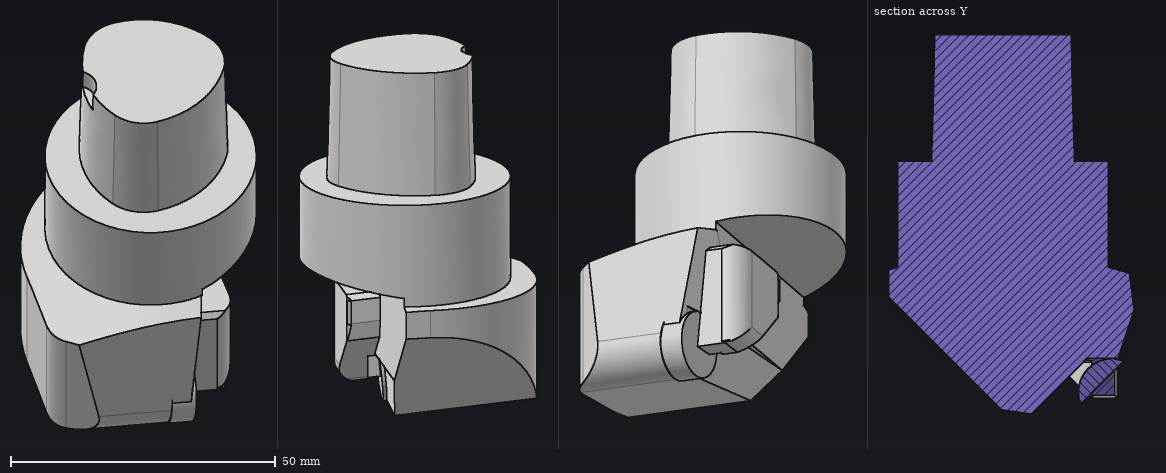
import cadquery as cq
import math


shank_height = 24.0
shank_width = 28.1
lobe_radius = 8.8
flank_radius = shank_width - lobe_radius
lobe_offset = (flank_radius - lobe_radius) / math.sqrt(3)
shank_taper = 1.4
key_radius = 4.0
key_depth = 4.15
key_center_y = -14.95

overall_length = 74.0
collar_diameter = 40.0
collar_radius = collar_diameter / 2
collar_height = 20.0
head_bottom = shank_height - overall_length

body_radius = 25.0
body_center_x = 3.4
body_center_y = -0.7
body_left = body_center_x - body_radius
body_front = body_center_y - body_radius
corner_start_x = 15.5
corner_radius = 6.35
corner_angle = 50.0
corner_run = 29.6
shoulder_angle = 15.5
heel_sum = -47.35
margin = 44.4

back_y = 4.0
chip_top_at_back = -18.35
chip_top_angle = 8.8

insert_diameter = 12.7
insert_radius = insert_diameter / 2
insert_thickness = 4.7
insert_proud = 0.75
insert_x = 20.5
insert_z = -43.6
seat_y = 0.3
seat_slope = 0.1
nose_radius = 6.15
flank_angle = 7.3
ramp_edge_x = 18.9
ramp_slope = 0.3

clamp_outer_y = 10.2
clamp_left = 3.7
clamp_right = 21.3
clamp_top = -23.6
clamp_bottom = -44.1
clamp_corner = 1.0
clamp_shoulder_z = -29.1
clamp_shoulder_lean = 0.6
clamp_heel_z = -32.55
clamp_tip_x = 15.4
clamp_tip_bevel = 0.8
left_bevel = 0.75
clamp_round_diameter = 10.0
clamp_round_x = 21.75
clamp_round_radius = clamp_round_diameter / 2
foot_left = -3.85
undercut_end = 5.9
undercut_height = 3.25

seat_plane = cq.Plane(
    origin=(insert_x, seat_y, insert_z),
    xDir=(1, -seat_slope, 0),
    normal=(-seat_slope, -1, seat_slope),
)


def polar(radius, degrees, x=0.0, y=0.0):
    angle = math.radians(degrees)
    return (x + radius * math.cos(angle), y + radius * math.sin(angle))


def make_shank():
    outline = cq.Workplane("XY").moveTo(*polar(lobe_radius, 60, *polar(lobe_offset, 90)))
    for lobe_angle in (90, 210, 330):
        lobe = polar(lobe_offset, lobe_angle)
        far_lobe = polar(lobe_offset, lobe_angle - 120)
        outline = outline.threePointArc(
            polar(lobe_radius, lobe_angle, *lobe),
            polar(lobe_radius, lobe_angle + 30, *lobe),
        ).threePointArc(
            polar(flank_radius, lobe_angle + 60, *far_lobe),
            polar(flank_radius, lobe_angle + 90, *far_lobe),
        )
    shank = outline.close().extrude(shank_height, taper=shank_taper)
    key = (
        cq.Workplane("XY", origin=(0, key_center_y, shank_height - key_depth))
        .circle(key_radius)
        .extrude(key_depth)
    )
    return shank.cut(key)


def make_collar():
    collar = cq.Workplane("XY").circle(collar_radius).extrude(-collar_height)
    return collar.cut(make_chip_space())


def head_outline():
    corner_y = body_front + corner_radius
    corner_end = polar(corner_radius, corner_angle - 90, corner_start_x, corner_y)
    diagonal_end = polar(corner_run, corner_angle, *corner_end)
    return (
        cq.Workplane("XY", origin=(0, 0, head_bottom))
        .moveTo(body_left, back_y)
        .lineTo(body_left, body_center_y)
        .threePointArc(
            polar(body_radius, 225, body_center_x, body_center_y),
            (body_center_x, body_front),
        )
        .lineTo(corner_start_x, body_front)
        .threePointArc(
            polar(corner_radius, corner_angle / 2 - 90, corner_start_x, corner_y),
            corner_end,
        )
        .lineTo(*diagonal_end)
        .lineTo(diagonal_end[0], back_y)
        .close()
    )


def make_shoulder():
    """Solid of revolution under the conical shoulder, used to trim the top of the head."""
    rim = collar_radius + margin
    rim_z = -collar_height - margin * math.tan(math.radians(shoulder_angle))
    floor = head_bottom - margin
    return (
        cq.Workplane("XZ")
        .polyline(
            [
                (0, floor),
                (0, -collar_height),
                (collar_radius, -collar_height),
                (rim, rim_z),
                (rim, floor),
            ]
        )
        .close()
        .revolve(360, (0, 0, 0), (0, 1, 0))
    )


def make_flank_prism():
    """Prism square to the seat: two leaning flanks joined by the round nose."""
    right = polar(nose_radius, flank_angle)
    bottom = polar(nose_radius, 270 - flank_angle)
    right_top = polar(margin, 90 + flank_angle, *right)
    left_bottom = polar(margin, 180 - flank_angle, *bottom)
    return (
        cq.Workplane(seat_plane)
        .moveTo(*right_top)
        .lineTo(*right)
        .threePointArc(polar(nose_radius, -45), bottom)
        .lineTo(*left_bottom)
        .lineTo(left_bottom[0], right_top[1])
        .close()
        .extrude(margin, both=True)
    )


def make_heel_cut():
    top_z = heel_sum + margin
    low_z = head_bottom - margin
    return (
        cq.Workplane("XZ")
        .polyline([(-margin, top_z), (heel_sum - low_z, low_z), (-margin, low_z)])
        .close()
        .extrude(margin, both=True)
    )


def make_chip_space():
    rise = margin * math.tan(math.radians(chip_top_angle))
    return (
        cq.Workplane("YZ")
        .polyline(
            [
                (back_y, chip_top_at_back),
                (back_y + margin, chip_top_at_back + rise),
                (back_y + margin, -overall_length),
                (back_y, -overall_length),
            ]
        )
        .close()
        .extrude(margin, both=True)
    )


def make_seat_cut():
    """Open space behind the seat face, bounded at the upper rim of the insert."""
    return (
        cq.Workplane(seat_plane)
        .center(0, insert_radius)
        .rect(2 * margin, -margin, centered=(True, False))
        .extrude(-margin)
    )


def make_ramp_cut():
    """Ramp that falls from the back face to the right cutting flank."""
    ramp_plane = cq.Plane(
        origin=(ramp_edge_x, back_y, -collar_height),
        xDir=(1, -ramp_slope, 0),
        normal=(ramp_slope, 1, -seat_slope),
    )
    return cq.Workplane(ramp_plane).rect(2 * margin, 2 * margin).extrude(margin)


def make_insert():
    return (
        cq.Workplane(seat_plane)
        .workplane(offset=-insert_proud)
        .circle(insert_radius)
        .extrude(insert_thickness)
    )


def make_holder(insert):
    head = (
        head_outline()
        .extrude(-head_bottom)
        .intersect(make_shoulder())
        .intersect(make_flank_prism())
        .cut(make_heel_cut())
        .cut(make_ramp_cut())
        .cut(make_seat_cut())
    )
    return make_shank().union(make_collar()).union(head).cut(insert)


def make_clamp_arm():
    """Arm with walls square to the seat and a flat outer face square to Y."""
    arm_plane = cq.Plane(
        origin=(0, back_y, 0),
        xDir=seat_plane.xDir,
        normal=seat_plane.zDir,
    )
    arm = (
        cq.Workplane(arm_plane)
        .polyline(
            [
                (clamp_left + clamp_corner, clamp_top),
                (clamp_right - clamp_corner, clamp_top),
                (clamp_right, clamp_top - clamp_corner),
                (clamp_right, clamp_bottom),
                (clamp_tip_x + clamp_tip_bevel, clamp_bottom),
                (clamp_tip_x, clamp_bottom + clamp_tip_bevel),
                (clamp_left + clamp_shoulder_lean, clamp_heel_z),
                (clamp_left, clamp_shoulder_z),
                (clamp_left, clamp_top - clamp_corner),
            ]
        )
        .close()
        .extrude(margin, both=True)
    )
    outer_limit = (
        cq.Workplane("XZ", origin=(0, clamp_outer_y, 0))
        .rect(2 * margin, 4 * margin)
        .extrude(clamp_outer_y)
    )
    return arm.intersect(outer_limit)


def corner_waste(plane, corner_x, corner_y):
    """Waste outside a rounded edge whose sharp corner points to +x, +y of the plane."""
    center_x = corner_x - clamp_round_radius
    center_y = corner_y - clamp_round_radius
    return (
        cq.Workplane(plane)
        .moveTo(center_x, corner_y)
        .threePointArc(polar(clamp_round_radius, 45, center_x, center_y), (corner_x, center_y))
        .lineTo(corner_x + clamp_round_radius, center_y)
        .lineTo(corner_x + clamp_round_radius, corner_y + clamp_round_radius)
        .lineTo(center_x, corner_y + clamp_round_radius)
        .close()
        .extrude(margin, both=True)
    )


def shape_clamp_edges(arm):
    """Bevel the left outer edge and round the right and bottom outer edges."""
    bottom = arm.val().BoundingBox().zmin
    outer_face = arm.faces(">Y").val().BoundingBox()
    left_wedge = (
        cq.Workplane("XY")
        .polyline(
            [
                (outer_face.xmin, clamp_outer_y),
                (outer_face.xmin + left_bevel, clamp_outer_y),
                (outer_face.xmin, clamp_outer_y - left_bevel),
            ]
        )
        .close()
        .extrude(margin, both=True)
    )
    downward = cq.Plane(origin=(0, 0, 0), xDir=(0, 1, 0), normal=(-1, 0, 0))
    return (
        arm.cut(left_wedge)
        .cut(corner_waste(cq.Plane.XY(), clamp_round_x, clamp_outer_y))
        .cut(corner_waste(downward, clamp_outer_y, -bottom))
    )


def make_clamp_undercut():
    """Clearance under the arm that leaves only its foot standing on the insert."""
    return (
        cq.Workplane(seat_plane)
        .workplane(offset=-undercut_height)
        .moveTo(foot_left, undercut_end)
        .rect(-margin, -margin, centered=False)
        .extrude(margin)
    )


def make_clamp(holder, insert):
    arm = shape_clamp_edges(make_clamp_arm())
    return arm.cut(make_clamp_undercut()).cut(holder).cut(insert)


insert = make_insert()
holder = make_holder(insert)
clamp = make_clamp(holder, insert)

result = cq.Compound.makeCompound([holder.val(), insert.val(), clamp.val()])